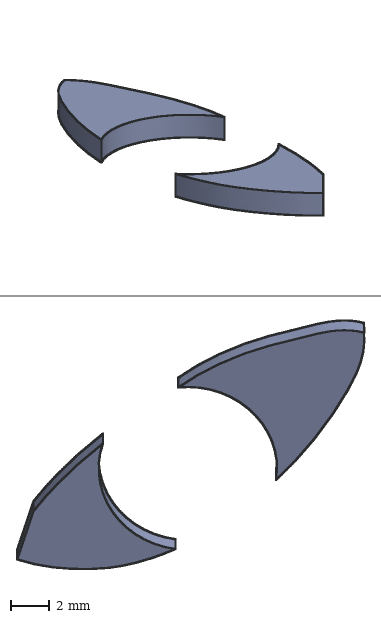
import cadquery as cq
import math

thickness = 1.25
inner_radius = 4.64

left_upper_angle = 125.2
left_lower_angle = 229.6
right_upper_angle = 59.4
right_lower_angle = -40.6

left_tip = (-12.0, -0.27)
right_tip = (10.1, 1.99)
right_shoulder = (7.65, 3.5)

left_upper_curve = [(-11.33, 0.5), (-9.32, 1.7), (-7.33, 2.65), (-5.35, 3.34)]
left_lower_curve = [(-4.93, -3.31), (-7.33, -2.78), (-9.32, -2.12), (-10.93, -1.3)]
right_upper_curve = [(4.64, 3.93), (6.23, 3.75)]
right_lower_curve = [(9.35, 0.85), (8.25, -0.38), (6.65, -1.65), (5.04, -2.5)]


def on_circle(angle):
    """Point of the shared circle in the given direction."""
    turn = math.radians(angle)
    return (inner_radius * math.cos(turn), inner_radius * math.sin(turn))


def make_left_fin():
    """Pointed fin on the -X side, with its hollow edge toward the origin."""
    upper_horn = on_circle(left_upper_angle)
    lower_horn = on_circle(left_lower_angle)
    return (
        cq.Workplane("XY")
        .moveTo(*left_tip)
        .spline(left_upper_curve + [upper_horn], includeCurrent=True)
        .threePointArc(on_circle(180), lower_horn)
        .spline(left_lower_curve + [left_tip], includeCurrent=True)
        .close()
        .extrude(thickness)
    )


def make_right_fin():
    """Shorter fin on the +X side, with a straight edge from shoulder to tip."""
    upper_horn = on_circle(right_upper_angle)
    lower_horn = on_circle(right_lower_angle)
    return (
        cq.Workplane("XY")
        .moveTo(*upper_horn)
        .spline(right_upper_curve + [right_shoulder], includeCurrent=True)
        .lineTo(*right_tip)
        .spline(right_lower_curve + [lower_horn], includeCurrent=True)
        .threePointArc(on_circle(0), upper_horn)
        .close()
        .extrude(thickness)
    )


left_fin = make_left_fin()
right_fin = make_right_fin()

result = cq.Compound.makeCompound([left_fin.val(), right_fin.val()])